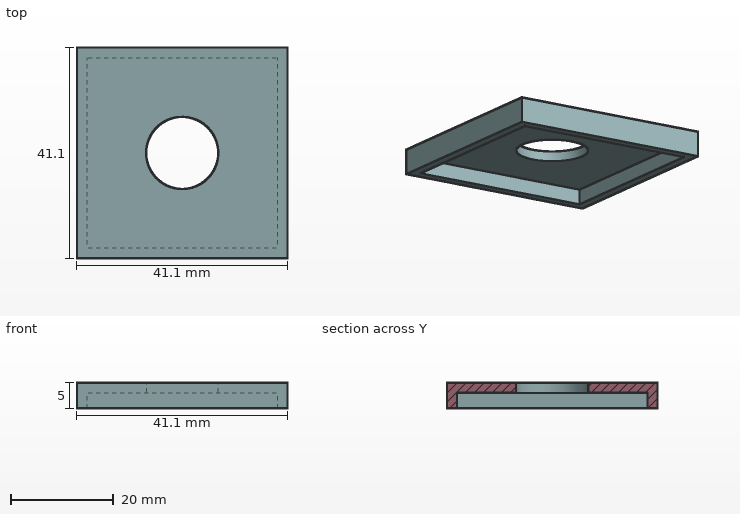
import cadquery as cq

side_length = 41.1
height = 5.0
wall_thickness = 2.0
hole_diameter = 14.0

block = cq.Workplane("XY").box(side_length, side_length, height)
cap = block.faces("<Z").shell(-wall_thickness)

result = cap.faces(">Z").workplane().hole(hole_diameter)